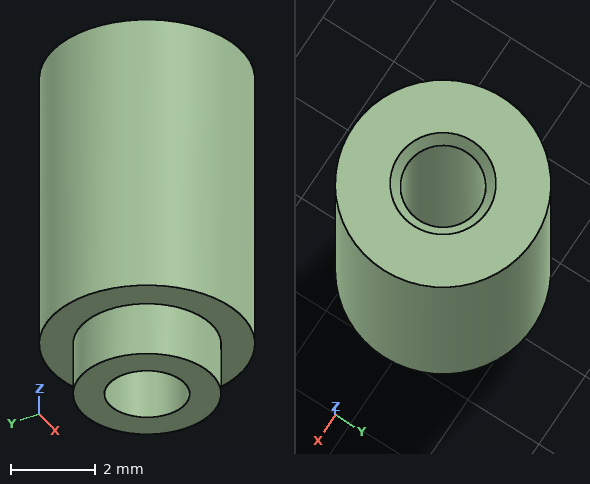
import cadquery as cq

total_height = 8.9
spigot_height = 1.41
body_height = total_height - spigot_height
body_diameter = 5.1
spigot_diameter = 3.5

bore_diameter = 2.01
countersink_diameter = 2.5
countersink_depth = (countersink_diameter - bore_diameter) / 2

spigot = cq.Workplane("XY").circle(spigot_diameter / 2).extrude(spigot_height)
body = (
    cq.Workplane("XY")
    .workplane(offset=spigot_height)
    .circle(body_diameter / 2)
    .extrude(body_height)
)
bore = cq.Workplane("XY").circle(bore_diameter / 2).extrude(total_height)

sleeve = spigot.union(body).cut(bore)
bore_rim = cq.selectors.RadiusNthSelector(0)
result = sleeve.faces(">Z").edges(bore_rim).chamfer(countersink_depth)